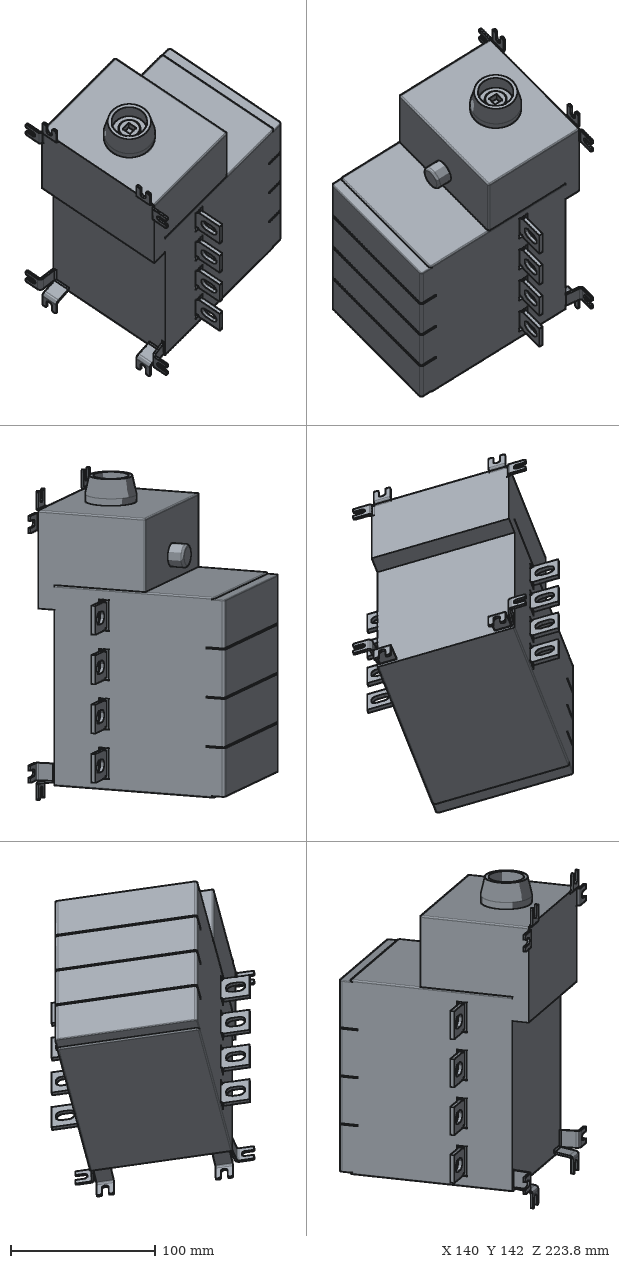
import cadquery as cq


overlap = 2.2

body_width = 100.7
body_back = 14.3
body_front = 134.0
body_bottom = 11.6
body_height = 142.0
body_top = body_bottom + body_height
body_middle = body_bottom + body_height / 2
body_edge_radius = 1.1
body_corner_radius = 2.2

pole_count = 4
pole_pitch = 35.0
cover_height = pole_count * pole_pitch
cover_back = 128.2
cover_front = 142.0
cover_corner_radius = 2.0
cover_edge_radius = 0.7
groove_width = 1.0
groove_depth = 0.7

housing_back = 2.2
housing_front = 82.4
housing_top = 205.7
housing_bottom = 136.0
housing_edge_radius = 1.1

lug_reach = 70.0
lug_height = 20.4
lug_thickness = 3.0
lug_y = 51.5
lug_neck_step = 1.1
lug_slot_length = 13.7
lug_slot_width = 8.7
lug_pocket_height = 22.0
lug_pocket_width = 7.5
lug_pocket_depth = 2.2
lug_root = 4.5

knob_y = 36.5
knob_top = 223.8
knob_radius = 18.0
knob_rim_radius = 15.0
knob_cone_start = 210.8
knob_bore_radius = 12.3
knob_bore_depth = 11.0
shaft_radius = 7.8
shaft_top_depth = 8.3
shaft_chamfer = 0.7
square_size = 6.7
square_depth = 5.5

button_diameter = 16.5
button_z = 171.0
button_front = 93.8
button_edge_radius = 1.8

bracket_width = 12.3
bracket_thickness = 1.5
bracket_bend_depth = 13.7
bracket_kink = 1.1
upper_bend_radius = 1.8
upper_foot_drop = 0.0
upper_kink_length = 0.2
lower_bend_radius = 3.0
lower_foot_drop = 1.3
lower_kink_length = 1.1
bracket_slot_depth = 8.7
bracket_slot_width = 5.0
bracket_tip_radius = 1.3
bracket_reach = 13.0
bracket_x = 42.0
bracket_upper_z = 197.6
bracket_lower_z = 21.0


def box_between(x_size, y_start, y_end, z_start, z_end):
    """Box centred on X between two Y and two Z positions."""
    base = cq.Workplane("XY", origin=(0, (y_start + y_end) / 2, z_start))
    return base.rect(x_size, y_end - y_start).extrude(z_end - z_start)


def make_body():
    body = box_between(body_width, body_back, body_front, body_bottom, body_top)
    body = body.edges("|Z and >Y").fillet(body_corner_radius)
    return body.edges("|Y").fillet(body_edge_radius)


def make_cover():
    half_height = cover_height / 2
    cover = box_between(
        body_width, cover_back, cover_front, body_middle - half_height, body_middle + half_height
    )
    cover = cover.edges("|Z and >Y").fillet(cover_corner_radius)
    return cover.faces(">Z or <Z").edges("not <Y").fillet(cover_edge_radius)


def make_pole_groove(z):
    """Shallow groove across both sides and the front of the covers."""
    z_start = z - groove_width / 2
    z_end = z + groove_width / 2
    slab = box_between(2 * body_width, cover_back, cover_front + overlap, z_start, z_end)
    core_width = body_width - 2 * groove_depth
    return slab.cut(box_between(core_width, cover_back, cover_front - groove_depth, z_start, z_end))


def make_housing():
    housing = box_between(body_width, housing_back, housing_front, body_top, housing_top)
    housing = housing.edges("|Z and >Y").fillet(housing_edge_radius)
    housing = housing.faces(">Z").edges("not <Y").fillet(housing_edge_radius)
    skirt = box_between(body_width, housing_back, body_back, housing_bottom, body_top)
    return housing.union(skirt)


def make_knob():
    bore_floor = knob_top - knob_bore_depth
    knob = (
        cq.Workplane("XZ", origin=(0, knob_y, 0))
        .moveTo(0, housing_top - overlap)
        .lineTo(knob_radius, housing_top - overlap)
        .lineTo(knob_radius, knob_cone_start)
        .lineTo(knob_rim_radius, knob_top)
        .lineTo(knob_bore_radius, knob_top)
        .lineTo(knob_bore_radius, bore_floor)
        .lineTo(0, bore_floor)
        .close()
        .revolve(360, (0, 0, 0), (0, 1, 0))
    )
    shaft = (
        cq.Workplane("XY", origin=(0, knob_y, bore_floor))
        .circle(shaft_radius)
        .extrude(knob_bore_depth - shaft_top_depth)
        .faces(">Z")
        .chamfer(shaft_chamfer)
    )
    shaft_top = knob_top - shaft_top_depth
    socket = (
        cq.Workplane("XY", origin=(0, knob_y, shaft_top))
        .rect(square_size, square_size)
        .extrude(-square_depth)
    )
    return knob.union(shaft).cut(socket)


def make_button():
    button = (
        cq.Workplane("XZ", origin=(0, housing_front - overlap, button_z))
        .circle(button_diameter / 2)
        .extrude(housing_front - overlap - button_front)
    )
    return button.faces(">Y").edges().fillet(button_edge_radius)


def make_lug(z):
    """Slotted terminal lug on the +X side, narrowed where it enters the body."""
    side = body_width / 2
    half_height = lug_height / 2
    neck_half_height = half_height - lug_neck_step
    plate = (
        cq.Workplane("XZ", origin=(0, lug_y + lug_thickness / 2, z))
        .moveTo(side - lug_root, -neck_half_height)
        .lineTo(side, -neck_half_height)
        .lineTo(side + lug_neck_step, -half_height)
        .lineTo(lug_reach, -half_height)
        .lineTo(lug_reach, half_height)
        .lineTo(side + lug_neck_step, half_height)
        .lineTo(side, neck_half_height)
        .lineTo(side - lug_root, neck_half_height)
        .close()
        .extrude(lug_thickness)
    )
    slot = (
        cq.Workplane("XZ", origin=((side + lug_reach) / 2, lug_y + lug_thickness, z))
        .slot2D(lug_slot_length, lug_slot_width)
        .extrude(2 * lug_thickness)
    )
    return plate.cut(slot)


def make_lug_pocket(z):
    """Recess around the lug root on the +X side."""
    center_x = body_width / 2 - lug_pocket_depth / 2
    pocket = cq.Workplane("XY").box(lug_pocket_depth, lug_pocket_width, lug_pocket_height)
    return pocket.translate((center_x, lug_y, z))


def make_bracket(wall_y, bend_radius, foot_drop, kink_length):
    """Bracket with its tab tip at the origin pointing +Z and its foot entering a wall at wall_y.

    The foot drops by foot_drop from the bend to a kink just before the wall.
    """
    bend_z = -bracket_bend_depth
    kink_y = wall_y - kink_length
    kink_z = bend_z - foot_drop
    wall_z = kink_z - bracket_kink
    foot_end = wall_y + overlap
    inner_radius = bend_radius - bracket_thickness
    plate = (
        cq.Workplane("YZ", origin=(-bracket_width / 2, 0, 0))
        .lineTo(bracket_thickness, 0)
        .lineTo(bracket_thickness, bend_z + bend_radius)
        .radiusArc((bend_radius, bend_z + bracket_thickness), -inner_radius)
        .lineTo(kink_y, kink_z + bracket_thickness)
        .lineTo(wall_y, wall_z + bracket_thickness)
        .lineTo(foot_end, wall_z + bracket_thickness)
        .lineTo(foot_end, wall_z)
        .lineTo(wall_y, wall_z)
        .lineTo(kink_y, kink_z)
        .lineTo(bend_radius, bend_z)
        .radiusArc((0, bend_z + bend_radius), bend_radius)
        .close()
        .extrude(bracket_width)
    )
    slot_radius = bracket_slot_width / 2
    slot_bottom = slot_radius - bracket_slot_depth
    slot = (
        cq.Workplane("XZ", origin=(0, bracket_thickness, 0))
        .moveTo(-slot_radius, 0)
        .lineTo(-slot_radius, slot_bottom)
        .threePointArc((0, -bracket_slot_depth), (slot_radius, slot_bottom))
        .lineTo(slot_radius, 0)
        .close()
        .extrude(bracket_thickness)
    )
    return plate.cut(slot).edges("|Y and >Z").fillet(bracket_tip_radius)


def place_bracket(bracket, turn, x, z):
    """Turn a bracket about Y (90 points the tab along +X) and move its tip into place."""
    return bracket.rotate((0, 0, 0), (0, 1, 0), turn).translate((x, 0, z))


def both_sides(feature):
    """A feature together with its mirror image on the opposite X side."""
    return feature.union(feature.mirror("YZ"))


result = make_body().union(make_cover()).union(make_housing())
result = result.union(make_knob()).union(make_button())

for joint in range(1, pole_count):
    joint_z = body_middle + (joint - pole_count / 2) * pole_pitch
    result = result.cut(make_pole_groove(joint_z))

for pole in range(pole_count):
    pole_z = body_middle + (pole - (pole_count - 1) / 2) * pole_pitch
    result = result.cut(both_sides(make_lug_pocket(pole_z)))
    result = result.union(both_sides(make_lug(pole_z)))

upper_bracket = make_bracket(housing_back, upper_bend_radius, upper_foot_drop, upper_kink_length)
lower_bracket = make_bracket(body_back, lower_bend_radius, lower_foot_drop, lower_kink_length)
side_tip = body_width / 2 + bracket_reach

for side in (-1, 1):
    result = result.union(place_bracket(upper_bracket, 0, side * bracket_x, housing_top + bracket_reach))
    result = result.union(place_bracket(lower_bracket, 180, side * bracket_x, 0))
    result = result.union(place_bracket(upper_bracket, side * 90, side * side_tip, bracket_upper_z))
    result = result.union(place_bracket(lower_bracket, side * 90, side * side_tip, bracket_lower_z))